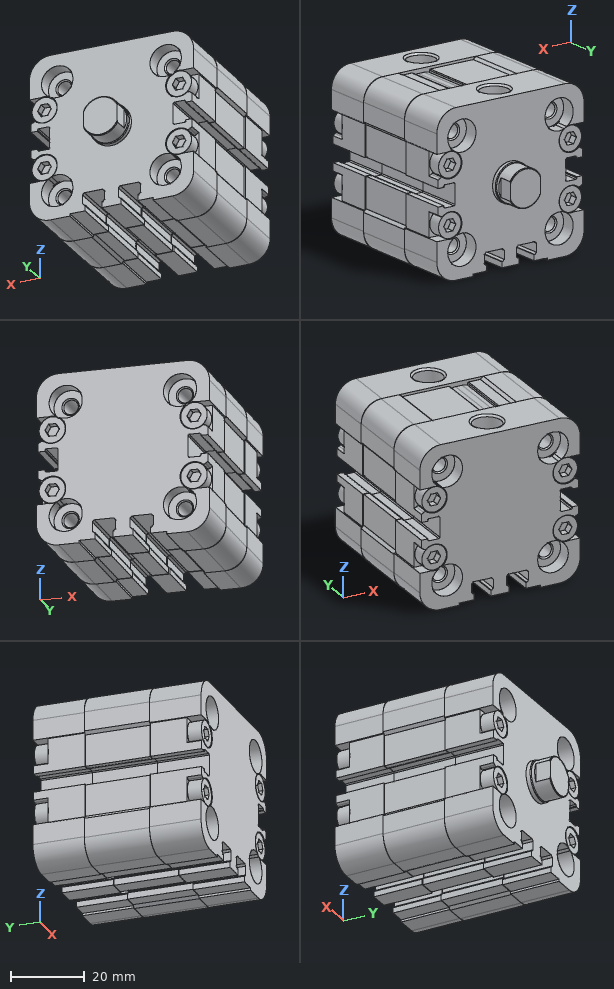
import cadquery as cq
import math


TOTAL_LENGTH = 56.0
CAP_LENGTH = 15.0
BARREL_LENGTH = 19.0
BODY_LENGTH = 2 * CAP_LENGTH + BARREL_LENGTH
ROD_CAP_START = CAP_LENGTH + BARREL_LENGTH

BODY_WIDTH = 49.2
BODY_HALF = BODY_WIDTH / 2
CAP_CORNER_RADIUS = 6.3
BARREL_CORNER_RADIUS = 6.1

CAP_RECESS_HALF = 12.45
CAP_SIDE_RECESS_DEPTH = 0.45
CAP_BOTTOM_RECESS_DEPTH = 0.7
BARREL_RECESS_DEPTH = 0.8
BARREL_RECESS_FLOOR_HALF = 12.0
BARREL_RECESS_MOUTH_HALF = 12.9

SLOT_FLOOR = 18.5
SLOT_INNER_HALF = 3.3
SIDE_SLOT_CHAMFER = 0.35
BOTTOM_SLOT_CHAMFER = 0.55
CAP_SLOT_OFFSET = 5.4
CAP_SLOT_LIP = 22.2
CAP_SIDE_SLOT_MOUTH_HALF = 2.65
CAP_BOTTOM_SLOT_MOUTH_HALF = 2.5
BARREL_SLOT_OFFSET = 5.15
BARREL_SLOT_LIP = 21.95
BARREL_SLOT_MOUTH_HALF = 2.75

GROOVE_OFFSET = 5.4
GROOVE_MOUTH_HALF = 2.95
GROOVE_CHAMFER = 0.3
GROOVE_DEPTH = 0.55
CROWN_FLAT_HALF = 1.0
CROWN_RADIUS = 4.5

MOUNT_SPACING = 32.5
MOUNT_COUNTERBORE_DIAMETER = 9.4
MOUNT_COUNTERBORE_DEPTH = 4.5
MOUNT_HOLE_DIAMETER = 4.15
MOUNT_CHAMFER_DIAMETER = 4.9

SCREW_X = 20.15
SCREW_Z = 8.6
SCREW_HEAD_DIAMETER = 7.5
SCREW_HEAD_SINK = 0.15
SCREW_POCKET_DIAMETER = 7.85
SCREW_POCKET_DEPTH = 4.25
POCKET_FLARE_START = (2.65, 2.9)
POCKET_FLARE_BEND = (2.95, 2.95)
POCKET_FLARE_STRAIGHT = (3.3, 3.15)
POCKET_FLARE_END = (4.5, 3.85)
HEX_ACROSS_FLATS = 3.5
HEX_DEPTH = 2.35

PORT_DIAMETER = 8.55
PORT_MOUTH_DIAMETER = 9.75
PORT_DEPTH = 8.0
PORT_FROM_END = 7.5

ROD_DIAMETER = 12.0
ROD_NOSE_DIAMETER = 11.5
ROD_NOSE_LENGTH = 5.5
ROD_END_CHAMFER = 0.2
FLAT_WIDTH = 10.0
FLAT_LENGTH = 4.5


def section(y):
    """Workplane at height y along the axis: local x is X, local y is Z."""
    return cq.Workplane("XZ", origin=(0, y, 0))


def along_y(sketch, length):
    """Extrude a sketch drawn on a section toward +Y."""
    return sketch.extrude(-length)


def square_block(half, radius, length):
    """Square prism with rounded long edges, starting at Y = 0."""
    block = along_y(section(0).rect(2 * half, 2 * half), length)
    return block.edges("|Y").fillet(radius)


def turned(solid, angle):
    """Turn a solid about the cylinder axis; features drawn at the bottom go round to the other faces."""
    return solid.rotate((0, 0, 0), (0, 1, 0), angle)


def recess_cutter(half, depth, floor_half, mouth_half, length):
    """Trapezoidal recess in the bottom face."""
    points = [
        (-mouth_half, -half),
        (-floor_half, depth - half),
        (floor_half, depth - half),
        (mouth_half, -half),
    ]
    return along_y(section(0).polyline(points).close(), length)


def slot_cutter(offset, mouth_half, lip, chamfer, length):
    """T-slot in the bottom face, with chamfered inner corners."""
    chamber = along_y(
        section(0).center(offset, -(SLOT_FLOOR + lip) / 2).rect(2 * SLOT_INNER_HALF, lip - SLOT_FLOOR),
        length,
    )
    chamber = chamber.edges("|Y").chamfer(chamfer)
    mouth = along_y(
        section(0)
        .center(offset, -(SLOT_FLOOR + BODY_HALF) / 2)
        .rect(2 * mouth_half, BODY_HALF - SLOT_FLOOR),
        length,
    )
    return chamber.union(mouth)


def cut_slots(body, offset, side_mouth_half, bottom_mouth_half, lip, length):
    """Cut one slot in each side face and two in the bottom face."""
    side_slot = slot_cutter(0, side_mouth_half, lip, SIDE_SLOT_CHAMFER, length)
    for angle in (90, -90):
        body = body.cut(turned(side_slot, angle))
    for place in (-offset, offset):
        bottom_slot = slot_cutter(place, bottom_mouth_half, lip, BOTTOM_SLOT_CHAMFER, length)
        body = body.cut(bottom_slot)
    return body


def groove_cutter():
    """Groove in the top of the barrel whose floor rounds away on both sides of a flat."""
    top = BODY_HALF - BARREL_RECESS_DEPTH
    flat_z = top - GROOVE_DEPTH
    wall = GROOVE_MOUTH_HALF - GROOVE_CHAMFER
    edge_angle = math.asin((wall - CROWN_FLAT_HALF) / CROWN_RADIUS)

    def crown_point(angle):
        across = CROWN_FLAT_HALF + CROWN_RADIUS * math.sin(angle)
        return across, flat_z - CROWN_RADIUS * (1 - math.cos(angle))

    middle_x, middle_z = crown_point(edge_angle / 2)
    edge_z = crown_point(edge_angle)[1]
    sketch = (
        section(0)
        .center(GROOVE_OFFSET, 0)
        .moveTo(CROWN_FLAT_HALF, flat_z)
        .threePointArc((middle_x, middle_z), (wall, edge_z))
        .lineTo(wall, top - GROOVE_CHAMFER)
        .lineTo(GROOVE_MOUTH_HALF, top)
        .lineTo(-GROOVE_MOUTH_HALF, top)
        .lineTo(-wall, top - GROOVE_CHAMFER)
        .lineTo(-wall, edge_z)
        .threePointArc((-middle_x, middle_z), (-CROWN_FLAT_HALF, flat_z))
        .close()
    )
    return along_y(sketch, BARREL_LENGTH)


def mount_hole_cutter(x_side, z_side):
    """Counterbored and chamfered mounting hole in one corner, through the cap."""
    chamfer = (MOUNT_CHAMFER_DIAMETER - MOUNT_HOLE_DIAMETER) / 2
    hole_profile = [
        (0, 0),
        (MOUNT_COUNTERBORE_DIAMETER / 2, 0),
        (MOUNT_COUNTERBORE_DIAMETER / 2, MOUNT_COUNTERBORE_DEPTH),
        (MOUNT_CHAMFER_DIAMETER / 2, MOUNT_COUNTERBORE_DEPTH),
        (MOUNT_HOLE_DIAMETER / 2, MOUNT_COUNTERBORE_DEPTH + chamfer),
        (MOUNT_HOLE_DIAMETER / 2, CAP_LENGTH),
        (0, CAP_LENGTH),
    ]
    hole = cq.Workplane("XY").polyline(hole_profile).close().revolve(360, (0, 0), (0, 1))
    return hole.translate((x_side * MOUNT_SPACING / 2, 0, z_side * MOUNT_SPACING / 2))


def screw_pocket(x_side, z_side):
    """Round pocket around a screw head, widening to the side face."""
    x = x_side * SCREW_X
    z = z_side * SCREW_Z
    pocket = along_y(section(0).center(x, z).circle(SCREW_POCKET_DIAMETER / 2), SCREW_POCKET_DEPTH)

    def flare_point(place):
        outward, inward = place
        return x + x_side * outward, z - z_side * inward

    step_z = z_side * CAP_RECESS_HALF
    end_x, end_z = flare_point(POCKET_FLARE_END)
    mouth = (
        section(0)
        .moveTo(x, z)
        .lineTo(*flare_point(POCKET_FLARE_START))
        .threePointArc(flare_point(POCKET_FLARE_BEND), flare_point(POCKET_FLARE_STRAIGHT))
        .lineTo(end_x, end_z)
        .lineTo(end_x, step_z)
        .lineTo(x, step_z)
        .close()
    )
    return pocket.union(along_y(mouth, SCREW_POCKET_DEPTH))


def screw_head(x_side, z_side):
    """Cylindrical screw head with a hexagon socket."""
    head_length = SCREW_POCKET_DEPTH - SCREW_HEAD_SINK
    hex_across_corners = HEX_ACROSS_FLATS / math.cos(math.pi / 6)
    place = section(SCREW_HEAD_SINK).center(x_side * SCREW_X, z_side * SCREW_Z)
    head = along_y(place.circle(SCREW_HEAD_DIAMETER / 2), head_length)
    return head.cut(along_y(place.polygon(6, hex_across_corners), HEX_DEPTH))


def port_cutter():
    """Air port in the top face with a 45 degree mouth."""
    mouth_depth = (PORT_MOUTH_DIAMETER - PORT_DIAMETER) / 2
    top = cq.Workplane("XY", origin=(0, PORT_FROM_END, BODY_HALF))
    hole = top.circle(PORT_DIAMETER / 2).extrude(-PORT_DEPTH)
    mouth = cq.Solid.makeCone(
        PORT_DIAMETER / 2,
        PORT_MOUTH_DIAMETER / 2,
        mouth_depth,
        pnt=cq.Vector(0, PORT_FROM_END, BODY_HALF - mouth_depth),
    )
    return hole.union(cq.Workplane(mouth))


def make_cap():
    """End cap with its outer face at Y = 0."""
    cap = square_block(BODY_HALF, CAP_CORNER_RADIUS, CAP_LENGTH)
    recess_depths = {
        0: CAP_BOTTOM_RECESS_DEPTH,
        90: CAP_SIDE_RECESS_DEPTH,
        -90: CAP_SIDE_RECESS_DEPTH,
    }
    for angle, depth in recess_depths.items():
        recess = recess_cutter(BODY_HALF, depth, CAP_RECESS_HALF, CAP_RECESS_HALF, CAP_LENGTH)
        cap = cap.cut(turned(recess, angle))
    cap = cut_slots(
        cap,
        CAP_SLOT_OFFSET,
        CAP_SIDE_SLOT_MOUTH_HALF,
        CAP_BOTTOM_SLOT_MOUTH_HALF,
        CAP_SLOT_LIP,
        CAP_LENGTH,
    )
    cap = cap.cut(port_cutter())
    for x_side in (-1, 1):
        for z_side in (-1, 1):
            cap = cap.cut(mount_hole_cutter(x_side, z_side))
            cap = cap.cut(screw_pocket(x_side, z_side))
            cap = cap.union(screw_head(x_side, z_side))
    return cap


def make_rod_cap():
    """Opposite end cap, mirrored to the far end and bored for the rod."""
    cap = make_cap().mirror("XZ").translate((0, BODY_LENGTH, 0))
    bore = along_y(section(ROD_CAP_START).circle(ROD_DIAMETER / 2), CAP_LENGTH)
    return cap.cut(bore)


def make_barrel():
    """Barrel between the caps, recessed on all four faces and slotted."""
    barrel = square_block(BODY_HALF, BARREL_CORNER_RADIUS, BARREL_LENGTH)
    recess = recess_cutter(
        BODY_HALF,
        BARREL_RECESS_DEPTH,
        BARREL_RECESS_FLOOR_HALF,
        BARREL_RECESS_MOUTH_HALF,
        BARREL_LENGTH,
    )
    for angle in (0, 90, 180, -90):
        barrel = barrel.cut(turned(recess, angle))
    barrel = cut_slots(
        barrel,
        BARREL_SLOT_OFFSET,
        BARREL_SLOT_MOUTH_HALF,
        BARREL_SLOT_MOUTH_HALF,
        BARREL_SLOT_LIP,
        BARREL_LENGTH,
    )
    barrel = barrel.cut(groove_cutter())
    return barrel.translate((0, CAP_LENGTH, 0))


def make_rod():
    """Piston rod with a slightly thinner nose and two wrench flats."""
    rod_radius = ROD_DIAMETER / 2
    nose_radius = ROD_NOSE_DIAMETER / 2
    nose_start = TOTAL_LENGTH - ROD_NOSE_LENGTH
    profile = [
        (0, ROD_CAP_START),
        (rod_radius, ROD_CAP_START),
        (rod_radius, nose_start - (rod_radius - nose_radius)),
        (nose_radius, nose_start),
        (nose_radius, TOTAL_LENGTH - ROD_END_CHAMFER),
        (nose_radius - ROD_END_CHAMFER, TOTAL_LENGTH),
        (0, TOTAL_LENGTH),
    ]
    rod = cq.Workplane("XY").polyline(profile).close().revolve(360, (0, 0), (0, 1))
    flat_depth = (ROD_NOSE_DIAMETER - FLAT_WIDTH) / 2
    for x_side in (-1, 1):
        flat = along_y(
            section(TOTAL_LENGTH - FLAT_LENGTH)
            .center(x_side * (FLAT_WIDTH + flat_depth) / 2, 0)
            .rect(flat_depth, ROD_NOSE_DIAMETER),
            FLAT_LENGTH,
        )
        rod = rod.cut(flat)
    return rod


closed_cap = make_cap()
barrel = make_barrel()
rod_cap = make_rod_cap()
rod = make_rod()

result = cq.Compound.makeCompound([closed_cap.val(), barrel.val(), rod_cap.val(), rod.val()])